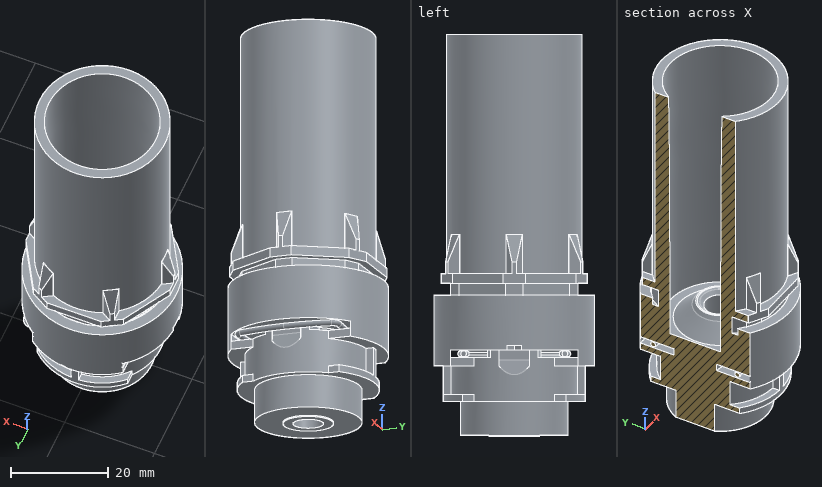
import cadquery as cq
import math

TIP_TOP = 0.25
FLANGE_LOW = 7.2
LUG_TOP = 8.7
SKIRT_LOW = 14.5
SLOT_LOW = 16.3
COLLAR_LOW = 17.8
COLLAR_TOP = 29.1
RECESS_FLOOR = 27.4
NECK_TOP = 31.5
HEX_TOP = 33.45
RIB_KNEE = 35.85
RIB_TOP = 41.55
TOTAL_HEIGHT = 82.6

TIP_RADIUS = 5.2
SPIGOT_RADIUS = 11.1
BODY_RADIUS = 13.05
LUG_RADIUS = 14.6
COLLAR_RADIUS = 16.5
TUBE_RADIUS = 14.0

HEX_FLAT = 15.0
HEX_CORNER = 16.0
NECK_FLAT = 13.1
NECK_CORNER = 14.1
RECESS_RADIUS = 14.3

BORE_TOP_RADIUS = 11.9
BORE_LOW_RADIUS = 11.7
FLOOR = 21.5
CONE_BASE_RADIUS = 9.7
CONE_TOP_RADIUS = 5.8
CONE_SLOPE = 40.0
RIM_OUTER_RADIUS = 5.0
RIM_CHAMFER_SLOPE = 50.0
RIM_INNER_RADIUS = 4.7
DISH_RADIUS = 4.2
DISH_DEPTH = 0.25
THROAT_RADIUS = 3.4
HOLE_RADIUS = 3.1

RIB_COUNT = 6
RIB_ROOT_HALF_WIDTH = 1.65
RIB_TIP_HALF_WIDTH = 0.455
SECTOR_HALF_WIDTH = 10.1
WEB_HALF_WIDTH = 0.8

POCKET_HALF_WIDTH = 3.1
POCKET_FLOOR_X = 12.4
POCKET_KNEE = 15.8
POCKET_LOW = 12.7
NOTCH_HALF_WIDTH = 1.5
NOTCH_TOP = 18.75

WIRE_RADIUS = 0.62
CLIP_LEVEL = (COLLAR_LOW + SLOT_LOW) / 2
CORE_RADIUS = 9.8
WAIST_RADIUS = 9.6
WAIST_HALF_HEIGHT = 0.25
SLOT_OUTER_Y = 13.05
SLOT_WALL_OUTER_Y = 4.7
SLOT_WALL_INNER_Y = 5.45
SLOT_WALL_INNER_X = 8.1
CLIP_END_X = -11.3
CLIP_END_Y = 10.4
FLARE_X = -7.85
FLARE_Y = 9.87
LEG_END_X = 11.3
LEG_END_Y = 11.0
BEND_RADIUS = 1.3
BOW_ANGLE = 12.5


def cylinder(radius, low, high):
    return cq.Workplane("XY").workplane(offset=low).circle(radius).extrude(high - low)


def revolved(outline):
    """Solid of revolution about Z from (radius, height) points."""
    return cq.Workplane("XZ").polyline(outline).close().revolve(360, (0, 0, 0), (0, 1, 0))


def block(half_x, half_y, low, high):
    return cq.Workplane("XY").workplane(offset=low).rect(2 * half_x, 2 * half_y).extrude(high - low)


def trimmed_hexagon(flat, corner, low, high):
    """Hexagon with flats facing +Y and -Y, its six corners cut by a second hexagon."""
    across = 2 / math.cos(math.pi / 6)
    plane = cq.Workplane("XY").workplane(offset=low)
    sharp = plane.polygon(6, flat * across).extrude(high - low)
    trimmer = plane.polygon(6, corner * across).extrude(high - low)
    return sharp.intersect(trimmer.rotate((0, 0, 0), (0, 0, 1), 30))


def rib(angle):
    """Gusset that narrows outward and slopes back to the tube above its knee."""
    plan = [
        (0, -RIB_ROOT_HALF_WIDTH),
        (TUBE_RADIUS, -RIB_ROOT_HALF_WIDTH),
        (HEX_CORNER, -RIB_TIP_HALF_WIDTH),
        (HEX_CORNER, RIB_TIP_HALF_WIDTH),
        (TUBE_RADIUS, RIB_ROOT_HALF_WIDTH),
        (0, RIB_ROOT_HALF_WIDTH),
    ]
    profile = [
        (0, HEX_TOP),
        (HEX_CORNER, HEX_TOP),
        (HEX_CORNER, RIB_KNEE),
        (TUBE_RADIUS, RIB_TOP),
        (0, RIB_TOP),
    ]
    wedge = cq.Workplane("XY").workplane(offset=HEX_TOP).polyline(plan).close().extrude(RIB_TOP - HEX_TOP)
    side = cq.Workplane("XZ").polyline(profile).close().extrude(RIB_ROOT_HALF_WIDTH, both=True)
    return wedge.intersect(side).rotate((0, 0, 0), (0, 0, 1), angle)


def skirts_and_lugs():
    """Skirts below the collar, lugs at the body's foot and webs between them, on both Y sides."""
    sector = block(SECTOR_HALF_WIDTH, COLLAR_RADIUS, FLANGE_LOW, COLLAR_LOW)
    web = block(WEB_HALF_WIDTH, COLLAR_RADIUS, LUG_TOP, SKIRT_LOW)
    skirts = cylinder(COLLAR_RADIUS, SKIRT_LOW, COLLAR_LOW).intersect(sector)
    lugs = cylinder(LUG_RADIUS, FLANGE_LOW, LUG_TOP).intersect(sector)
    webs = cylinder(LUG_RADIUS, LUG_TOP, SKIRT_LOW).intersect(web)
    return skirts.union(lugs).union(webs)


def bore():
    """Tapered bore with a conical nozzle standing on its floor and a hole through the tip."""
    cone_top = FLOOR + (CONE_BASE_RADIUS - CONE_TOP_RADIUS) * math.tan(math.radians(CONE_SLOPE))
    rim = cone_top + (CONE_TOP_RADIUS - RIM_OUTER_RADIUS) * math.tan(math.radians(RIM_CHAMFER_SLOPE))
    dish = rim - DISH_DEPTH
    throat = dish - (DISH_RADIUS - THROAT_RADIUS)
    outline = [
        (0, 0),
        (HOLE_RADIUS, 0),
        (THROAT_RADIUS, throat),
        (DISH_RADIUS, dish),
        (RIM_INNER_RADIUS, rim),
        (RIM_OUTER_RADIUS, rim),
        (CONE_TOP_RADIUS, cone_top),
        (CONE_BASE_RADIUS, FLOOR),
        (BORE_LOW_RADIUS, FLOOR),
        (BORE_TOP_RADIUS, TOTAL_HEIGHT),
        (0, TOTAL_HEIGHT),
    ]
    return revolved(outline)


def side_pocket(side):
    """Recess with a sloped foot that gives access to the clip, on the +X or -X side."""
    profile = [
        (side * POCKET_FLOOR_X, COLLAR_LOW),
        (side * POCKET_FLOOR_X, POCKET_KNEE),
        (side * BODY_RADIUS, POCKET_LOW),
        (side * COLLAR_RADIUS, POCKET_LOW),
        (side * COLLAR_RADIUS, COLLAR_LOW),
    ]
    return cq.Workplane("XZ").polyline(profile).close().extrude(POCKET_HALF_WIDTH, both=True)


def collar_notch():
    """V notch in the lower edge of the collar on the -X side."""
    plan = [
        (-BODY_RADIUS, 0),
        (-COLLAR_RADIUS, NOTCH_HALF_WIDTH),
        (-COLLAR_RADIUS, -NOTCH_HALF_WIDTH),
    ]
    plane = cq.Workplane("XY").workplane(offset=COLLAR_LOW)
    return plane.polyline(plan).close().extrude(NOTCH_TOP - COLLAR_LOW)


def clip_slots():
    """Two slots along X for the clip legs, leaving a waisted core and a spine between them."""
    slots = block(COLLAR_RADIUS, SLOT_OUTER_Y, SLOT_LOW, COLLAR_LOW)
    core_outline = [
        (0, SLOT_LOW),
        (CORE_RADIUS, SLOT_LOW),
        (WAIST_RADIUS, CLIP_LEVEL - WAIST_HALF_HEIGHT),
        (WAIST_RADIUS, CLIP_LEVEL + WAIST_HALF_HEIGHT),
        (CORE_RADIUS, COLLAR_LOW),
        (0, COLLAR_LOW),
    ]
    core = revolved(core_outline)
    spine_plan = [
        (-COLLAR_RADIUS, -SLOT_WALL_OUTER_Y),
        (-BODY_RADIUS, -SLOT_WALL_OUTER_Y),
        (-SLOT_WALL_INNER_X, -SLOT_WALL_INNER_Y),
        (SLOT_WALL_INNER_X, -SLOT_WALL_INNER_Y),
        (BODY_RADIUS, -SLOT_WALL_OUTER_Y),
        (COLLAR_RADIUS, -SLOT_WALL_OUTER_Y),
    ]
    spine_plan += [(x, -y) for x, y in reversed(spine_plan)]
    plane = cq.Workplane("XY").workplane(offset=SLOT_LOW)
    spine = plane.polyline(spine_plan).close().extrude(COLLAR_LOW - SLOT_LOW)
    return slots.cut(core).cut(spine)


def make_housing():
    housing = cylinder(TIP_RADIUS, 0, TIP_TOP)
    housing = housing.union(cylinder(SPIGOT_RADIUS, TIP_TOP, FLANGE_LOW))
    housing = housing.union(cylinder(BODY_RADIUS, FLANGE_LOW, COLLAR_LOW))
    housing = housing.union(cylinder(COLLAR_RADIUS, COLLAR_LOW, COLLAR_TOP))
    housing = housing.cut(cylinder(RECESS_RADIUS, RECESS_FLOOR, COLLAR_TOP))
    housing = housing.union(trimmed_hexagon(NECK_FLAT, NECK_CORNER, RECESS_FLOOR, NECK_TOP))
    housing = housing.union(trimmed_hexagon(HEX_FLAT, HEX_CORNER, NECK_TOP, HEX_TOP))
    housing = housing.union(cylinder(TUBE_RADIUS, HEX_TOP, TOTAL_HEIGHT))
    for index in range(RIB_COUNT):
        housing = housing.union(rib(index * 360 / RIB_COUNT))
    housing = housing.union(skirts_and_lugs())
    for side in (-1, 1):
        housing = housing.cut(side_pocket(side))
    return housing.cut(collar_notch()).cut(clip_slots()).cut(bore())


def make_clip():
    """U-shaped spring wire: flared ends at -X, legs along the slots and a bowed back at +X."""
    leg_angle = math.atan2(LEG_END_Y - FLARE_Y, LEG_END_X - FLARE_X)
    bow_angle = math.radians(BOW_ANGLE)

    def bend_point(angle):
        """Point of the bend on the +Y side whose outward direction has this angle from +X."""
        x = LEG_END_X + BEND_RADIUS * (math.sin(leg_angle) + math.cos(angle))
        y = LEG_END_Y + BEND_RADIUS * (math.sin(angle) - math.cos(leg_angle))
        return x, y

    bend_middle = bend_point((math.pi / 2 + leg_angle + bow_angle) / 2)
    bend_end = bend_point(bow_angle)
    bow_radius = bend_end[1] / math.sin(bow_angle)
    back_x = bend_end[0] + bow_radius * (1 - math.cos(bow_angle))

    path = (
        cq.Workplane("XY")
        .workplane(offset=CLIP_LEVEL)
        .moveTo(back_x, 0)
        .radiusArc(bend_end, -bow_radius)
        .threePointArc(bend_middle, (LEG_END_X, LEG_END_Y))
        .lineTo(FLARE_X, FLARE_Y)
        .tangentArcPoint((CLIP_END_X, CLIP_END_Y), relative=False)
    )
    section = cq.Workplane("XZ", origin=(back_x, 0, CLIP_LEVEL)).circle(WIRE_RADIUS)
    half = section.sweep(path)
    return half.union(half.mirror("XZ"))


housing = make_housing()
clip = make_clip()

result = cq.Compound.makeCompound([housing.solids().val(), clip.solids().val()])